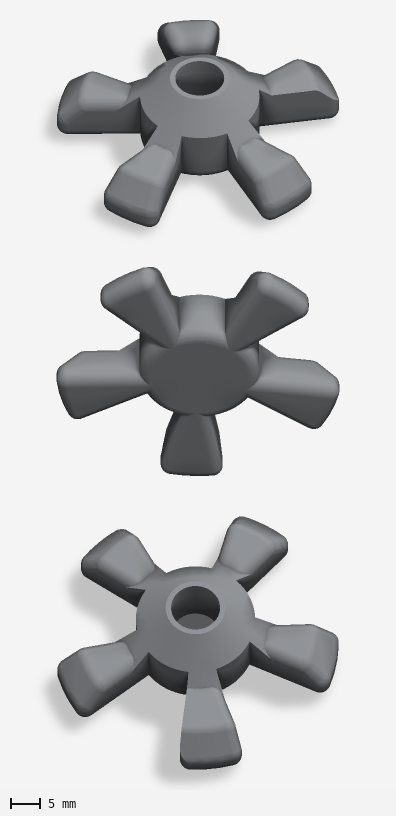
import cadquery as cq
import math

TOTAL_HEIGHT = 14.0
HUB_RADIUS = 10.0
CONE_TOP_RADIUS = 5.0
CONE_SLOPE = 40.0
CONE_BASE_HEIGHT = 4.0
CONE_BASE_RADIUS = CONE_TOP_RADIUS + (TOTAL_HEIGHT - CONE_BASE_HEIGHT) / math.tan(math.radians(CONE_SLOPE))
BORE_DIAMETER = 8.2
BORE_DEPTH = 10.0

ARM_COUNT = 5
ARM_PITCH = 360.0 / ARM_COUNT
ARM_ANGLE = 27.0
ARM_HEIGHT = 8.0
TIP_RADIUS = 24.0
TIP_CHAMFER = 4.0
ARM_ROOT_RADIUS = 8.0
SHARP_ARM = 1

EDGE_RADIUS = 1.8
TOLERANCE = 0.01


def polar(radius, angle):
    """Point at a radius and an angle in degrees, in the XY plane."""
    return (radius * math.cos(math.radians(angle)), radius * math.sin(math.radians(angle)))


def arm_wedge(inner_radius, height):
    """Sharp-edged wedge from angle -ARM_ANGLE to 0, ending in an arc at the tip."""
    return (
        cq.Workplane("XY")
        .moveTo(*polar(inner_radius, -ARM_ANGLE))
        .lineTo(*polar(TIP_RADIUS, -ARM_ANGLE))
        .threePointArc(polar(TIP_RADIUS, -ARM_ANGLE / 2), polar(TIP_RADIUS, 0))
        .lineTo(*polar(inner_radius, 0))
        .close()
        .extrude(height)
    )


def is_root_edge(edge):
    """True for the edges of the flat root face, which is buried in the hub."""
    center = edge.Center()
    return math.hypot(center.x, center.y) < ARM_ROOT_RADIUS + TOLERANCE


def is_sharp_edge(edge):
    """True for the upper edges on the clockwise flank of the arm."""
    center = edge.Center()
    flank_y = center.x * math.tan(math.radians(-ARM_ANGLE))
    on_flank = abs(center.y - flank_y) < TOLERANCE
    return on_flank and center.z > ARM_HEIGHT - TIP_CHAMFER + TOLERANCE


def make_arm(keep_sharp_flank):
    """Arm on the +X side, rounded on all exposed edges but the sharp flank's upper ones."""
    arm = arm_wedge(ARM_ROOT_RADIUS, ARM_HEIGHT)
    arm = arm.faces(">Z").edges("%CIRCLE").chamfer(TIP_CHAMFER)
    rounded = []
    for edge in arm.edges().vals():
        if is_root_edge(edge) or (keep_sharp_flank and is_sharp_edge(edge)):
            continue
        rounded.append(edge)
    return cq.Workplane(arm.val().fillet(EDGE_RADIUS, rounded))


def around_hub(body, index):
    """Body turned to the place of the arm with the given index."""
    return body.rotate((0, 0, 0), (0, 0, 1), index * ARM_PITCH)


def make_hub_base():
    """Plain cylinder with a rounded bottom rim, up to where the cone section starts."""
    base = cq.Workplane("XY").circle(HUB_RADIUS).extrude(CONE_BASE_HEIGHT)
    return base.faces("<Z").edges().fillet(EDGE_RADIUS)


def make_cone_section():
    """Cone trimmed to the outline of the hub and the arms."""
    cone = (
        cq.Workplane("XZ")
        .moveTo(0, CONE_BASE_HEIGHT)
        .lineTo(CONE_BASE_RADIUS, CONE_BASE_HEIGHT)
        .lineTo(CONE_TOP_RADIUS, TOTAL_HEIGHT)
        .lineTo(0, TOTAL_HEIGHT)
        .close()
        .revolve(360, (0, 0, 0), (0, 1, 0))
    )
    outline = cq.Workplane("XY").circle(HUB_RADIUS).extrude(TOTAL_HEIGHT)
    wedge = arm_wedge(ARM_ROOT_RADIUS, TOTAL_HEIGHT)
    for index in range(ARM_COUNT):
        outline = outline.union(around_hub(wedge, index))
    return cone.intersect(outline)


def make_bore():
    """Tool for the blind bore down from the top of the cone."""
    top = cq.Workplane("XY").workplane(offset=TOTAL_HEIGHT)
    return top.circle(BORE_DIAMETER / 2).extrude(-BORE_DEPTH)


part = make_hub_base().union(make_cone_section())
for index in range(ARM_COUNT):
    part = part.union(around_hub(make_arm(index == SHARP_ARM), index))

result = part.cut(make_bore())